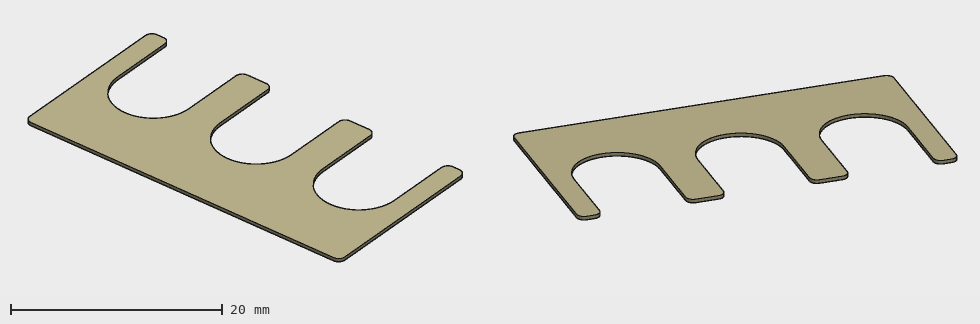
import cadquery as cq

length = 38.1
width = 19.05
thickness = 0.4
corner_radius = 0.75

slot_count = 3
slot_pitch = 12.42
slot_width = 8.6
slot_depth = 12.2

slot_radius = slot_width / 2
slot_center_y = width / 2 - slot_depth + slot_radius


def open_slot(center_x):
    """Cutter with a round inner end, running out through the +Y edge."""
    straight_length = width / 2 - slot_center_y
    straight = (
        cq.Workplane("XY")
        .center(center_x, slot_center_y + straight_length / 2)
        .rect(slot_width, straight_length)
        .extrude(thickness)
    )
    round_end = (
        cq.Workplane("XY")
        .center(center_x, slot_center_y)
        .circle(slot_radius)
        .extrude(thickness)
    )
    return straight.union(round_end)


plate = cq.Workplane("XY").rect(length, width).extrude(thickness)

for index in range(slot_count):
    offset = index - (slot_count - 1) / 2
    plate = plate.cut(open_slot(offset * slot_pitch))

finger_tips = plate.faces(">Y").edges("|Z")
base_corners = plate.faces("<Y").edges("|Z")
result = plate.newObject(finger_tips.vals() + base_corners.vals()).fillet(corner_radius)